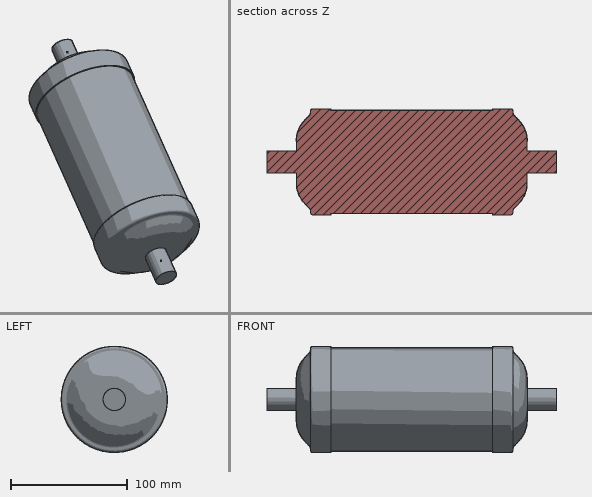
import cadquery as cq
import math

overall_length = 248.0
pipe_diameter = 19.0
pipe_length = 25.0
shell_diameter = 88.8
cap_diameter = 91.0

dome_flat_radius = 17.9
dome_arc_radius = 25.5
dome_arc_angle = math.radians(43.5)
shoulder_radius = 40.0
rim_face_offset = 12.2
rim_round = 2.2
cap_length = 29.8

dimple_diameter = 1.2
dimple_depth = 1.2

half_length = overall_length / 2
pipe_radius = pipe_diameter / 2
cap_radius = cap_diameter / 2
dome_end = half_length - pipe_length
rim_face = dome_end - rim_face_offset
cap_inner_end = dome_end - cap_length


def dome_point(angle):
    """Point on the dome arc, as (distance along X, radius); angle 0 is at the flat."""
    axial = dome_end - dome_arc_radius * (1 - math.cos(angle))
    radial = dome_flat_radius + dome_arc_radius * math.sin(angle)
    return axial, radial


def make_cap():
    """Solid end cap on the +X side."""
    cone_start = dome_point(dome_arc_angle)
    cone_rise = shoulder_radius - cone_start[1]
    shoulder = (cone_start[0] - cone_rise * math.tan(dome_arc_angle), shoulder_radius)

    cone_to_rim = shoulder[0] - rim_face
    fillet_height = cone_to_rim * (1 + math.cos(dome_arc_angle)) / math.sin(dome_arc_angle)
    fillet_end = (rim_face, shoulder_radius + fillet_height)

    profile = (
        cq.Workplane("XY")
        .moveTo(cap_inner_end, 0)
        .lineTo(dome_end, 0)
        .lineTo(dome_end, dome_flat_radius)
        .threePointArc(dome_point(dome_arc_angle / 2), cone_start)
        .lineTo(*shoulder)
        .tangentArcPoint(fillet_end, relative=False)
        .lineTo(rim_face, cap_radius - rim_round)
        .radiusArc((rim_face - rim_round, cap_radius), -rim_round)
        .lineTo(cap_inner_end, cap_radius)
        .close()
    )
    return profile.revolve(360, (0, 0, 0), (1, 0, 0))


def make_dimple(x):
    """Cutter for a shallow round dimple in the top of a pipe."""
    return (
        cq.Workplane("XY", origin=(x, 0, pipe_radius - dimple_depth))
        .circle(dimple_diameter / 2)
        .extrude(2 * dimple_depth)
    )


def x_cylinder(diameter, length):
    """Cylinder along X, centred on the origin."""
    return cq.Workplane("YZ").circle(diameter / 2).extrude(length / 2, both=True)


cap = make_cap()
shell = x_cylinder(shell_diameter, 2 * cap_inner_end)
pipes = x_cylinder(pipe_diameter, overall_length)
result = shell.union(cap).union(cap.mirror("YZ")).union(pipes)

dimple_x = half_length - pipe_length / 2
for side in (-1, 1):
    result = result.cut(make_dimple(side * dimple_x))